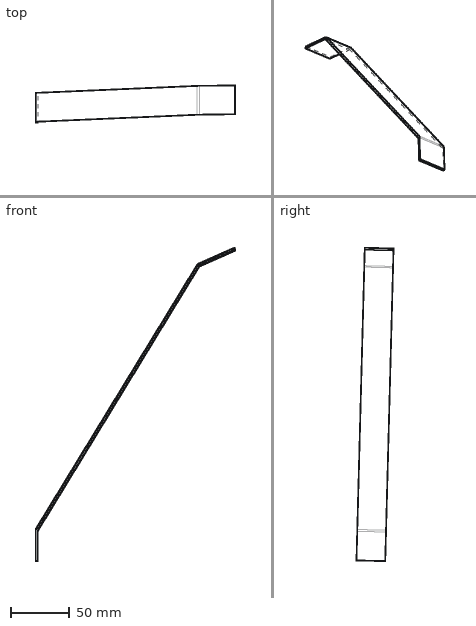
import cadquery as cq
import math

thickness = 2.0
width = 25.0
outer_bend_radius = 5.0

profile_length_x = 172.21
profile_height = 269.64

foot_length = 26.8
main_slope = 58.6
flange_slope = 24.0

lean_angle = 1.522


def mitre_point(corner, slope_before, slope_after):
    """Inner-face corner that lies opposite an outer-face bend corner."""
    mean_slope = math.radians((slope_before + slope_after) / 2)
    half_bend = math.radians((slope_before - slope_after) / 2)
    reach = thickness / math.cos(half_bend)
    return (
        corner[0] + reach * math.sin(mean_slope),
        corner[1] - reach * math.cos(mean_slope),
    )


def strip_profile():
    """Closed XZ outline of the bent strip with sharp corners."""
    main = math.radians(main_slope)
    flange = math.radians(flange_slope)

    foot_end = (0, 0)
    lower_bend = (0, foot_length)
    flange_end = (profile_length_x - thickness * math.sin(flange), profile_height)

    rise_above_main = flange_end[0] * math.tan(main) - (flange_end[1] - lower_bend[1])
    flange_run = rise_above_main / (math.tan(main) - math.tan(flange))
    upper_bend = (
        flange_end[0] - flange_run,
        flange_end[1] - flange_run * math.tan(flange),
    )

    inner_flange_end = mitre_point(flange_end, flange_slope, flange_slope)
    inner_upper_bend = mitre_point(upper_bend, main_slope, flange_slope)
    inner_lower_bend = mitre_point(lower_bend, 90, main_slope)
    inner_foot_end = (thickness, 0)

    outer_bends = [lower_bend, upper_bend]
    inner_bends = [inner_lower_bend, inner_upper_bend]
    outline = [
        foot_end,
        lower_bend,
        upper_bend,
        flange_end,
        inner_flange_end,
        inner_upper_bend,
        inner_lower_bend,
        inner_foot_end,
    ]
    return outline, outer_bends, inner_bends


def round_bends(strip, corners, radius):
    """Round the full-width edge at each of the given profile corners."""
    for x, z in corners:
        edge = cq.selectors.NearestToPointSelector((x, 0, z))
        strip = strip.edges("|Y").edges(edge).fillet(radius)
    return strip


def bent_strip():
    outline, outer_bends, inner_bends = strip_profile()
    strip = cq.Workplane("XZ").polyline(outline).close().extrude(width / 2, both=True)
    strip = round_bends(strip, outer_bends, outer_bend_radius)
    return round_bends(strip, inner_bends, outer_bend_radius - thickness)


result = bent_strip().rotate((0, 0, 0), (1, 0, 0), -lean_angle)